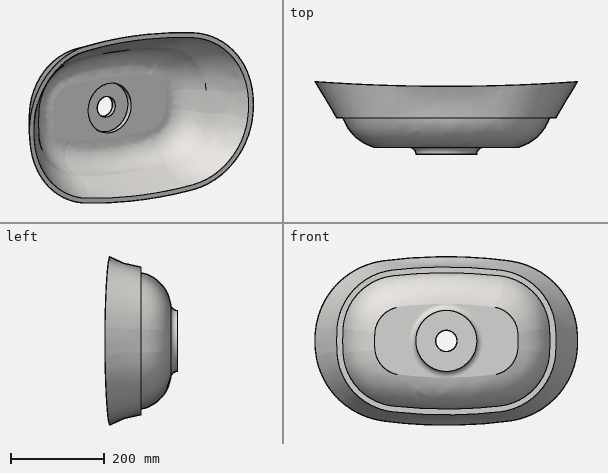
import cadquery as cq
import math


end_bulge = 0.5

rim_half_length = 280.0
rim_half_height = 186.0
rim_dip = 10.0
waist_depth = 27.0
ledge_depth = 77.0
rim_oval = (rim_half_length, rim_half_height, 111.0, 6.5)
waist_oval = (263.0, 171.0, 106.5, 10.5)
ledge_oval = (233.5, 157.5, 99.0, 18.0)

bowl_sections = [
    (0.0, 220.5, 145.0, 99.5, 19.0),
    (19.5, 211.0, 139.0, 99.0, 18.0),
    (41.5, 193.0, 122.5, 98.0, 17.0),
    (55.0, 173.5, 104.0, 95.0, 15.0),
    (63.0, 153.0, 78.5, 92.5, 13.0),
]
floor_depth = ledge_depth + bowl_sections[-1][0]

overall_depth = 155.0
foot_top_radius = 78.5
foot_radius = 65.0
drain_radius = 22.5

wall = 11.0
drain_wall = 12.5


def crown_radius(reach, offset, corner_radius):
    """Radius of a shallow arc crossing an axis, tangent to the corner arc.

    The crossing lies at `reach` from the corner center along the axis,
    and the corner center lies at `offset` from the axis.
    """
    return (reach**2 + offset**2 - corner_radius**2) / (2 * (reach - corner_radius))


def oval(depth, half_length, half_height, corner_x, corner_z):
    """Closed oval at a depth: eight tangent arcs, symmetric about X and Z."""
    corner_radius = half_length - corner_x - end_bulge
    end_radius = crown_radius(half_length - corner_x, corner_z, corner_radius)
    side_radius = crown_radius(half_height - corner_z, corner_x, corner_radius)
    end_angle = math.asin(corner_z / (end_radius - corner_radius))
    side_angle = math.acos(corner_x / (side_radius - corner_radius))

    def corner_point(angle):
        return corner_x + corner_radius * math.cos(angle), corner_z + corner_radius * math.sin(angle)

    end_join = corner_point(end_angle)
    corner_middle = corner_point((end_angle + side_angle) / 2)
    side_join = corner_point(side_angle)
    right_quarter = [(half_length, 0), end_join, corner_middle, side_join]
    left_quarter = [(-x, z) for x, z in (side_join, corner_middle, end_join)]
    upper_half = right_quarter + [(0, half_height)] + left_quarter
    lower_half = [(-x, -z) for x, z in upper_half]
    points = [cq.Vector(x, -depth, z) for x, z in upper_half + lower_half]
    arcs = [
        cq.Edge.makeThreePointArc(points[i - 1], points[i], points[(i + 1) % len(points)])
        for i in range(0, len(points), 2)
    ]
    return cq.Wire.assembleEdges(arcs)


def loft(sections):
    return cq.Workplane(cq.Solid.makeLoft([oval(*section) for section in sections]))


def inset(depth, half_length, half_height, corner_x, corner_z):
    """Section moved in by the wall thickness."""
    return depth, half_length - wall, half_height - wall, corner_x, corner_z


rim = (0.0, *rim_oval)
waist = (waist_depth, *waist_oval)
ledge = (ledge_depth, *ledge_oval)
bowl = [(ledge_depth + step, *size) for step, *size in bowl_sections]

skirt = loft([rim, waist, ledge])
body = skirt.union(loft(bowl))

foot_width = foot_top_radius - foot_radius
foot_height = overall_depth - floor_depth
flank_turn = math.sqrt(0.5)
foot = (
    cq.Workplane("XY")
    .moveTo(0, -floor_depth + wall / 2)
    .lineTo(foot_top_radius, -floor_depth + wall / 2)
    .lineTo(foot_top_radius, -floor_depth)
    .threePointArc(
        (foot_top_radius - foot_width * flank_turn, -floor_depth - foot_height * (1 - flank_turn)),
        (foot_radius, -overall_depth),
    )
    .lineTo(0, -overall_depth)
    .close()
    .revolve(360, (0, 0, 0), (0, 1, 0))
)
body = body.union(foot)

cavity_floor = (floor_depth - wall, *inset(*bowl[-1])[1:])
bowl_cavity = loft([*[inset(*section) for section in bowl[:-2]], cavity_floor])
skirt_cavity = loft([inset(*rim), inset(*waist), inset(*bowl[0])])
body = body.cut(skirt_cavity).cut(bowl_cavity)

seat_depth = overall_depth - drain_wall
seat = (
    cq.Workplane("XZ", origin=(0, -seat_depth, 0))
    .circle(foot_radius - wall)
    .extrude(-(seat_depth - ledge_depth))
)
drain = cq.Workplane("XZ").circle(drain_radius).extrude(overall_depth)
body = body.cut(seat).cut(drain)

dish = (
    cq.Workplane("XY")
    .moveTo(-rim_half_length, 0)
    .threePointArc((0, -rim_dip), (rim_half_length, 0))
    .close()
    .extrude(rim_half_height + wall, both=True)
)
result = body.cut(dish)